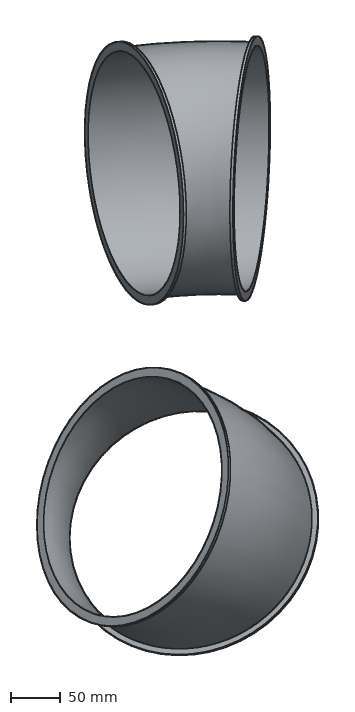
import cadquery as cq

bend_angle = 30.0
bend_radius = 230.0
bore_diameter = 248.0
tube_diameter = 255.0
flange_diameter = 267.0
flange_thickness = 3.0

bend_axis_bottom = (bend_radius, 0, 0)
bend_axis_top = (bend_radius, 0, 1)


def bent_bar(diameter):
    """Solid round bar bent from the inlet plane Y = 0 toward +X."""
    return (
        cq.Workplane("XZ")
        .circle(diameter / 2)
        .revolve(bend_angle, (bend_radius, 0), (bend_radius, -1))
    )


def inlet_flange():
    """Solid disc whose outer face lies on the inlet plane Y = 0."""
    return cq.Workplane("XZ").circle(flange_diameter / 2).extrude(-flange_thickness)


def outlet_flange():
    """The inlet disc mirrored and turned about the bend axis onto the outlet plane."""
    return inlet_flange().mirror("XZ").rotate(bend_axis_bottom, bend_axis_top, -bend_angle)


outside = bent_bar(tube_diameter).union(inlet_flange()).union(outlet_flange())

result = outside.cut(bent_bar(bore_diameter))